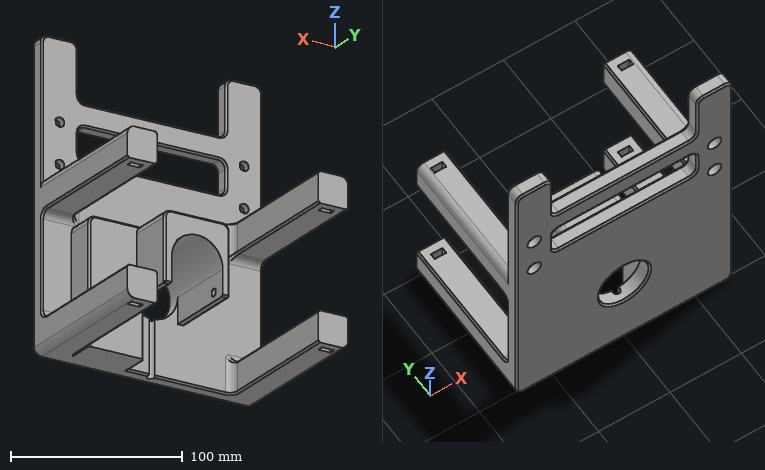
import cadquery as cq
width = 151.2
depth = 105.0
height = 200.0
plate_thickness = 10.0
corner_radius = 5.0
edge_chamfer = 1.2
center_x = width / 2

tower_width = 25.0
notch_floor_z = 162.0
slot_bottom_z = 125.5
slot_height = 22.0

leg_size = 20.5
leg_top_z = 108.5
strap_slot_width = 8.0
strap_slot_depth = 4.0
strap_slot_y = depth - 7.8

screw_diameter = 6.0
screw_head_diameter = 9.5
screw_head_depth = 5.0
screw_rows_z = (120.0, 146.8)

bore_diameter = 35.0
bore_z = 54.0
hood_wall = 5.0
hood_width = bore_diameter + 2 * hood_wall
hood_bottom_z = 36.8
hood_top_z = 83.5
hood_back_y = 60.0
pin_diameter = 4.8
pin_y = 50.0
pin_z = 42.5

drain_diameter = 4.8
drain_y = 8.5

rib_back_y = 29.5
rib_left_x = center_x + bore_diameter / 2
rib_right_x = width - leg_size


def box(x0, x1, y0, y1, z0, z1):
    """Box between two opposite corners."""
    return cq.Workplane("XY").box(x1 - x0, y1 - y0, z1 - z0, centered=False).translate((x0, y0, z0))


def edges_within(x0, x1, y0, y1, z0, z1):
    """Selector for edges whose centers lie inside a box, with a small margin."""
    margin = edge_chamfer / 4
    return cq.selectors.BoxSelector(
        (x0 - margin, y0 - margin, z0 - margin), (x1 + margin, y1 + margin, z1 + margin)
    )


def plate():
    """Front plate with two towers, a long slot and chamfered rims."""
    blank = box(0, width, 0, plate_thickness, 0, height)
    notch = box(tower_width, width - tower_width, 0, plate_thickness, notch_floor_z, height)
    slot = box(
        tower_width, width - tower_width, 0, plate_thickness, slot_bottom_z, slot_bottom_z + slot_height
    )
    body = blank.cut(notch).cut(slot).edges("|Y").fillet(corner_radius)
    return body.faces("<Y or >Y").chamfer(edge_chamfer)


def plate_cutters():
    """Bore with a chamfered front rim, and the four counterbored screw holes."""
    bore = cq.Workplane("XZ", origin=(center_x, 0, bore_z)).circle(bore_diameter / 2).extrude(-plate_thickness)
    rim = (
        cq.Workplane("XZ", origin=(center_x, 0, bore_z))
        .circle(bore_diameter / 2 + edge_chamfer)
        .extrude(-edge_chamfer, taper=45)
    )
    screw_points = [(x, z) for x in (tower_width / 2, width - tower_width / 2) for z in screw_rows_z]
    front = cq.Workplane("XZ").pushPoints(screw_points)
    screws = front.circle(screw_diameter / 2).extrude(-plate_thickness)
    heads = front.circle(screw_head_diameter / 2).extrude(-screw_head_depth)
    return bore.union(rim).union(screws).union(heads)


def legs():
    """Four legs left by cutting a sideways and an upright window through one block."""
    block = box(0, width, edge_chamfer, depth, 0, leg_top_z).edges("|Y").fillet(corner_radius)

    window_end_y = 2 * depth
    side_window = box(0, width, plate_thickness, window_end_y, leg_size, leg_top_z - leg_size)
    side_window = side_window.edges("|X and <Y").fillet(corner_radius)
    upright_window = box(leg_size, width - leg_size, plate_thickness, window_end_y, 0, leg_top_z)
    upright_window = upright_window.edges("|Z and <Y").fillet(corner_radius)

    side_rims = inner_rims(block.cut(side_window), "<X or >X", side_window)
    upright_rims = inner_rims(block.cut(upright_window), "<Z or >Z", upright_window)
    body = side_rims.intersect(upright_rims)

    for x in (leg_size, width - leg_size):
        for z in (leg_size, leg_top_z - leg_size):
            corner = edges_within(x, x, plate_thickness + corner_radius, depth, z, z)
            body = body.edges(corner).chamfer(edge_chamfer)
    return body


def inner_rims(body, outer_faces, window):
    """Chamfer the edges where a window breaks through the given outer faces."""
    span = window.val().BoundingBox()
    rim = edges_within(span.xmin, span.xmax, span.ymin, depth - edge_chamfer, span.zmin, span.zmax)
    return body.faces(outer_faces).edges(rim).chamfer(edge_chamfer)


def strap_slots():
    """Upright slots through all four legs near their ends."""
    return (
        cq.Workplane("XY")
        .pushPoints([(leg_size / 2, strap_slot_y), (width - leg_size / 2, strap_slot_y)])
        .rect(strap_slot_width, strap_slot_depth)
        .extrude(leg_top_z)
    )


def hood():
    """Hood with an arched cavity, carried down to the rib by its right-hand wall."""
    left_x = center_x - hood_width / 2
    right_x = center_x + hood_width / 2
    shell = box(left_x, right_x, edge_chamfer, hood_back_y, hood_bottom_z, hood_top_z)
    shell = shell.edges("|Y and >Z").fillet(corner_radius)
    shell = shell.faces(">Y or <Z").edges("not <Y").chamfer(edge_chamfer)

    wall_end_y = hood_back_y - edge_chamfer
    wall = box(rib_left_x, right_x, edge_chamfer, wall_end_y, 0, bore_z)
    below = box(rib_left_x, right_x, rib_back_y, wall_end_y, 0, hood_bottom_z)
    wall = wall.cut(below.edges("|X and <Y and >Z").fillet(corner_radius))

    arch = cq.Workplane("XZ", origin=(center_x, plate_thickness, bore_z)).circle(bore_diameter / 2)
    arch = arch.extrude(plate_thickness - hood_back_y)
    opening = box(
        center_x - bore_diameter / 2, rib_left_x, plate_thickness, hood_back_y, hood_bottom_z, bore_z
    )
    pin_hole = cq.Workplane("YZ", origin=(left_x, pin_y, pin_z)).circle(pin_diameter / 2).extrude(hood_wall)
    body = shell.union(wall).cut(arch).cut(opening).cut(pin_hole)

    inner_edge = edges_within(rib_left_x, rib_left_x, rib_back_y, rib_back_y, 0, hood_bottom_z)
    return body.edges(inner_edge).chamfer(edge_chamfer)


def rib():
    """Rib from the hood to the inner side of the lower right leg."""
    body = box(rib_left_x, rib_right_x, edge_chamfer, rib_back_y, 0, hood_top_z)
    body = body.edges("|Y and >X and >Z").fillet(corner_radius)
    return body.faces(">Y").edges("not <Z").chamfer(edge_chamfer)


def drain():
    """Upright hole below the bore."""
    return cq.Workplane("XY", origin=(center_x, drain_y, 0)).circle(drain_diameter / 2).extrude(bore_z)


result = plate().union(legs()).union(hood()).union(rib()).clean()
result = result.cut(plate_cutters()).cut(strap_slots()).cut(drain())